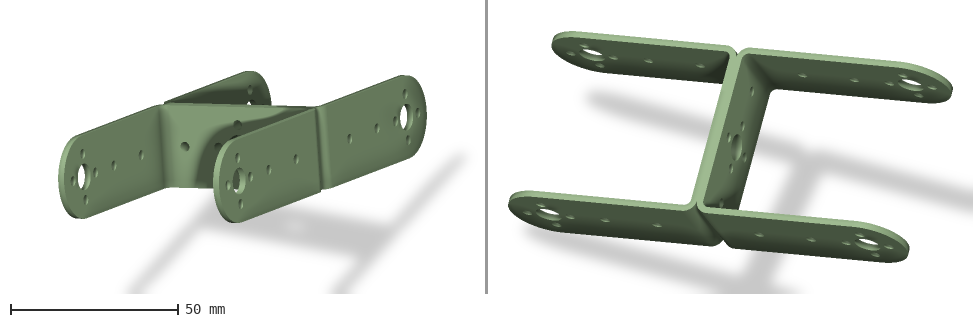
import cadquery as cq

bracket_span = 54.9
sheet_thickness = 2.0
inner_bend_radius = 2.0
outer_bend_radius = inner_bend_radius + sheet_thickness
bracket_width = 25.1
end_radius = bracket_width / 2
boss_distance = 52.4

big_hole_diameter = 8.0
small_hole_diameter = 3.0
pattern_radius = 7.0
web_hole_offset = 18.5
flange_hole_offsets = [18.5, 35.6]

pitch_about_x = -16.9
roll_about_y = -13.1

cut_length = 2 * bracket_span


def u_channel():
    """U channel with rounded bends; the back of the web lies on Y = 0."""
    flange_length = boss_distance + end_radius
    inner_span = bracket_span - 2 * sheet_thickness
    centered = (True, False, True)
    outer = cq.Workplane("XY").box(bracket_span, flange_length, bracket_width, centered=centered)
    outer = outer.edges("|Z and <Y").fillet(outer_bend_radius)
    inner = cq.Workplane("XY").box(inner_span, flange_length, bracket_width, centered=centered)
    inner = inner.edges("|Z and <Y").fillet(inner_bend_radius)
    return outer.cut(inner.translate((0, sheet_thickness, 0)))


def flange_profile():
    """Side outline of the flanges: straight from the web, with a semicircular end."""
    return (
        cq.Workplane("YZ")
        .moveTo(0, -end_radius)
        .lineTo(boss_distance, -end_radius)
        .threePointArc((boss_distance + end_radius, 0), (boss_distance, end_radius))
        .lineTo(0, end_radius)
        .close()
        .extrude(cut_length / 2, both=True)
    )


def hole_cutters(plane, centre, extra_positions):
    """Big hole ringed by four small ones, plus further small holes, all on the given plane."""
    ring = [
        (centre + pattern_radius, 0),
        (centre - pattern_radius, 0),
        (centre, pattern_radius),
        (centre, -pattern_radius),
    ]
    small_points = ring + [(position, 0) for position in extra_positions]
    big = cq.Workplane(plane).center(centre, 0).circle(big_hole_diameter / 2)
    small = cq.Workplane(plane).pushPoints(small_points).circle(small_hole_diameter / 2)
    return [profile.extrude(cut_length / 2, both=True) for profile in (big, small)]


def bracket():
    """Complete U bracket, opening toward +Y."""
    body = u_channel().intersect(flange_profile())
    web_cutters = hole_cutters("XZ", 0, [-web_hole_offset, web_hole_offset])
    flange_positions = [boss_distance - offset for offset in flange_hole_offsets]
    flange_cutters = hole_cutters("YZ", boss_distance, flange_positions)
    for cutter in web_cutters + flange_cutters:
        body = body.cut(cutter)
    return body


def tilted(body):
    """Turn a body from the bracket axes into its final attitude."""
    origin = (0, 0, 0)
    body = body.rotate(origin, (1, 0, 0), pitch_about_x)
    return body.rotate(origin, (0, 1, 0), roll_about_y)


brackets = []
for half_turn in (0, 180):
    placed = bracket().rotate((0, 0, 0), (0, 0, 1), half_turn)
    brackets.append(tilted(placed).val())

result = cq.Compound.makeCompound(brackets)